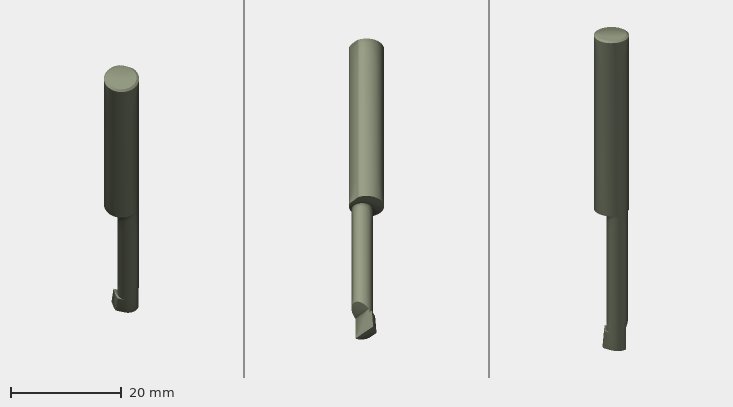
import cadquery as cq

total_length = 63.5
shank_diameter = 6.35
shank_depth = 6.1
end_chamfer_width = 0.45
end_chamfer_height = 0.25

neck_length = 28.0
neck_diameter = 3.9

relief_flat_top = 4.65
relief_ramp_top = 6.2

tooth_height = 3.8
tooth_lean = 0.4
tooth_tip_x = -1.9
tooth_flank_x = -1.0
tooth_heel_x = -0.5
tooth_flank_depth = 1.4

end_rise_along_x = 0.04
end_rise_along_y = 0.1

shank_radius = shank_diameter / 2
neck_radius = neck_diameter / 2
neck_center_x = shank_radius - neck_radius


def make_shank():
    shank = (
        cq.Workplane("XY", origin=(0, 0, neck_length))
        .circle(shank_radius)
        .extrude(total_length - neck_length)
        .faces(">Z")
        .chamfer(end_chamfer_height, end_chamfer_width)
    )
    flat_y = shank_depth - shank_radius
    flat_cutter = cq.Workplane("XY").box(
        shank_diameter, shank_diameter, total_length, centered=(True, False, False)
    )
    return shank.cut(flat_cutter.translate((0, flat_y, 0)))


def make_neck():
    neck = cq.Workplane("XY").center(neck_center_x, 0).circle(neck_radius).extrude(neck_length)
    relief = (
        cq.Workplane("YZ")
        .polyline([
            (0, 0),
            (0, relief_flat_top),
            (neck_radius, relief_ramp_top),
            (neck_radius, 0),
        ])
        .close()
        .extrude(shank_diameter, both=True)
    )
    return neck.cut(relief)


def tooth_outline(lean):
    """Tooth section with its two -X flanks moved toward +X by lean."""
    return [
        (tooth_tip_x + lean, 0),
        (tooth_flank_x + lean, -tooth_flank_depth),
        (tooth_heel_x + lean, -neck_radius),
        (neck_center_x, -neck_radius),
        (neck_center_x, 0),
    ]


def make_tooth():
    return (
        cq.Workplane("XY")
        .polyline(tooth_outline(0))
        .close()
        .workplane(offset=tooth_height)
        .polyline(tooth_outline(tooth_lean))
        .close()
        .loft(ruled=True, combine=True)
    )


def make_end_clearance():
    """Block below the inclined end face, which passes through the tooth tip."""
    end_face = cq.Plane(
        origin=(tooth_tip_x, 0, 0),
        xDir=(1, 0, end_rise_along_x),
        normal=(-end_rise_along_x, end_rise_along_y, 1),
    )
    block_side = 4 * shank_diameter
    return cq.Workplane(end_face).rect(block_side, block_side).extrude(-shank_diameter)


tip = make_neck().union(make_tooth()).cut(make_end_clearance())
result = make_shank().union(tip)